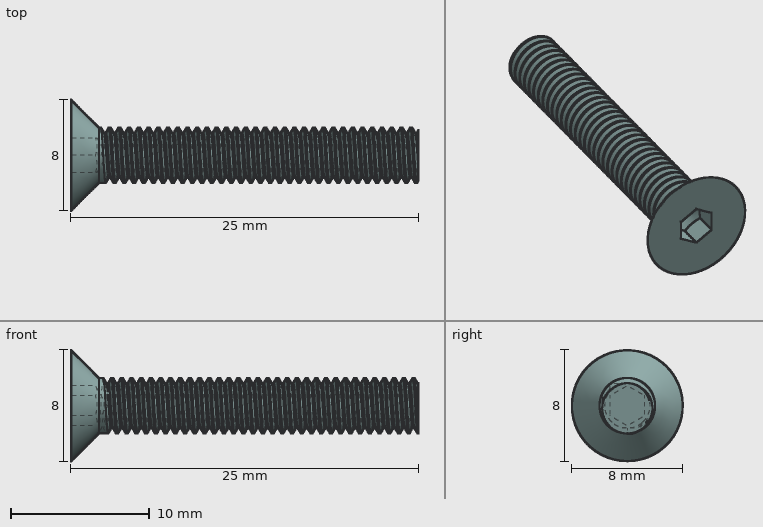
import cadquery as cq
import math

length = 25.0
head_diameter = 8.0
shank_diameter = 4.0
head_height = (head_diameter - shank_diameter) / 2

socket_across_flats = 2.5
socket_depth = 1.75
socket_point_angle = 120.0

pitch = 0.7
root_diameter = 3.25
thread_start = 2.25
root_width = 0.15
flank_angle = 30.0
cutter_clearance = 0.05
run_out = pitch


def screw_blank():
    head_radius = head_diameter / 2
    shank_radius = shank_diameter / 2
    outline = [
        (0, 0),
        (head_radius, 0),
        (shank_radius, head_height),
        (shank_radius, length),
        (0, length),
    ]
    return cq.Workplane("XZ").polyline(outline).close().revolve(360, (0, 0, 0), (0, 1, 0))


def hex_socket():
    corner_diameter = socket_across_flats / math.cos(math.radians(180 / 6))
    corner_radius = corner_diameter / 2
    point_depth = socket_depth + corner_radius / math.tan(math.radians(socket_point_angle / 2))
    outline = [(0, 0), (corner_radius, 0), (corner_radius, socket_depth), (0, point_depth)]
    drilled = cq.Workplane("XZ").polyline(outline).close().revolve(360, (0, 0, 0), (0, 1, 0))
    hexagon = cq.Workplane("XY").polygon(6, corner_diameter).extrude(point_depth)
    return hexagon.intersect(drilled)


def groove_end(profile, travel):
    """Flat radial end of the groove cutter after the helix has climbed by travel."""
    angle = 2 * math.pi * travel / pitch
    corners = [
        cq.Vector(radius * math.cos(angle), radius * math.sin(angle), height + travel)
        for radius, height in profile
    ]
    return cq.Face.makeFromWires(cq.Wire.makePolygon(corners, close=True))


def thread_groove():
    inner = root_diameter / 2
    outer = shank_diameter / 2 + cutter_clearance
    half_root = root_width / 2
    half_mouth = half_root + (outer - inner) * math.tan(math.radians(flank_angle))
    profile = [
        (inner, thread_start - half_root),
        (outer, thread_start - half_mouth),
        (outer, thread_start + half_mouth),
        (inner, thread_start + half_root),
    ]
    travel = length + run_out - thread_start

    helices = [
        cq.Wire.makeHelix(pitch, travel, radius, center=cq.Vector(0, 0, height))
        for radius, height in profile
    ]
    next_helices = helices[1:] + helices[:1]
    faces = [cq.Face.makeRuledSurface(near, far) for near, far in zip(helices, next_helices)]
    faces += [groove_end(profile, 0), groove_end(profile, travel)]
    return cq.Workplane(cq.Solid.makeSolid(cq.Shell.makeShell(faces)))


screw = screw_blank().cut(thread_groove()).cut(hex_socket())
result = screw.rotate((0, 0, 0), (0, 1, 0), 90)